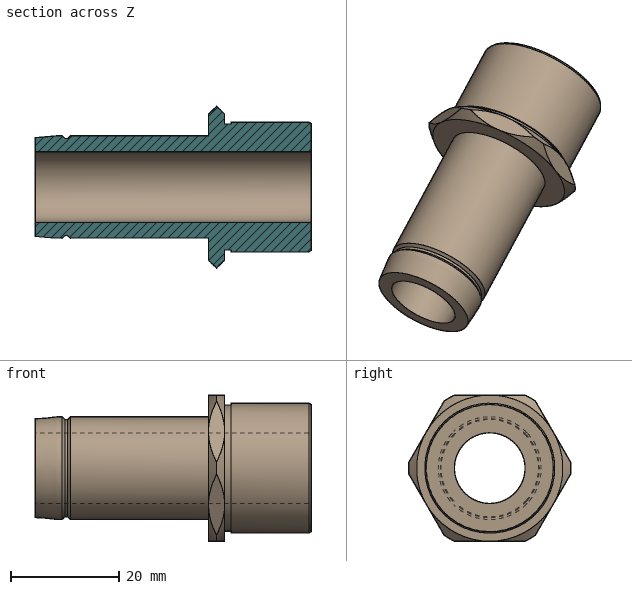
import cadquery as cq
import math

length = 51.0
bore_diameter = 13.0

spigot_diameter = 19.0
nose_length = 4.0
nose_taper = math.radians(5)
groove_start = 5.0
groove_width = 1.5
groove_depth = 0.5

hex_sides = 6
hex_start = 32.0
hex_width = 3.0
hex_across_flats = 27.0
hex_ridge_diameter = 30.0

relief_diameter = 23.4
relief_width = 1.2
socket_diameter = 24.0
socket_chamfer_depth = 0.25
socket_chamfer_angle = math.radians(30)

hex_end = hex_start + hex_width
socket_start = hex_end + relief_width
spigot_radius = spigot_diameter / 2
nose_radius = spigot_radius - nose_length * math.tan(nose_taper)
socket_radius = socket_diameter / 2
socket_chamfer_length = socket_chamfer_depth / math.tan(socket_chamfer_angle)


def revolve_about_x(profile):
    """Close a half profile and turn it about the X axis."""
    return profile.close().revolve(360, (0, 0, 0), (1, 0, 0))


def make_spigot():
    """Tube end: tapered nose, retaining groove and cylinder."""
    groove_end = groove_start + groove_width
    groove_radius = spigot_radius - groove_depth
    profile = (
        cq.Workplane("XY")
        .lineTo(hex_start, 0)
        .lineTo(hex_start, spigot_radius)
        .lineTo(groove_end, spigot_radius)
        .lineTo(groove_end - groove_depth, groove_radius)
        .lineTo(groove_start + groove_depth, groove_radius)
        .lineTo(groove_start, spigot_radius)
        .lineTo(nose_length, spigot_radius)
        .lineTo(0, nose_radius)
    )
    return revolve_about_x(profile)


def make_hexagon():
    """Hexagonal collar whose corners are turned to a ridge at mid width."""
    across_corners = hex_across_flats / math.cos(math.pi / hex_sides)
    prism = (
        cq.Workplane("YZ", origin=(hex_start, 0, 0))
        .polygon(hex_sides, across_corners)
        .extrude(hex_width)
    )
    face_radius = hex_across_flats / 2
    double_cone = revolve_about_x(
        cq.Workplane("XY")
        .moveTo(hex_start, 0)
        .lineTo(hex_start, face_radius)
        .lineTo(hex_start + hex_width / 2, hex_ridge_diameter / 2)
        .lineTo(hex_end, face_radius)
        .lineTo(hex_end, 0)
    )
    return prism.intersect(double_cone)


def make_socket():
    """Relief and large cylinder with a chamfered outer end."""
    relief_radius = relief_diameter / 2
    profile = (
        cq.Workplane("XY")
        .moveTo(hex_end, 0)
        .lineTo(hex_end, relief_radius)
        .lineTo(socket_start, relief_radius)
        .lineTo(socket_start, socket_radius)
        .lineTo(length - socket_chamfer_length, socket_radius)
        .lineTo(length, socket_radius - socket_chamfer_depth)
        .lineTo(length, 0)
    )
    return revolve_about_x(profile)


def make_bore():
    """Straight bore through the full length."""
    return cq.Workplane("YZ").circle(bore_diameter / 2).extrude(length)


result = make_spigot().union(make_hexagon()).union(make_socket()).cut(make_bore())